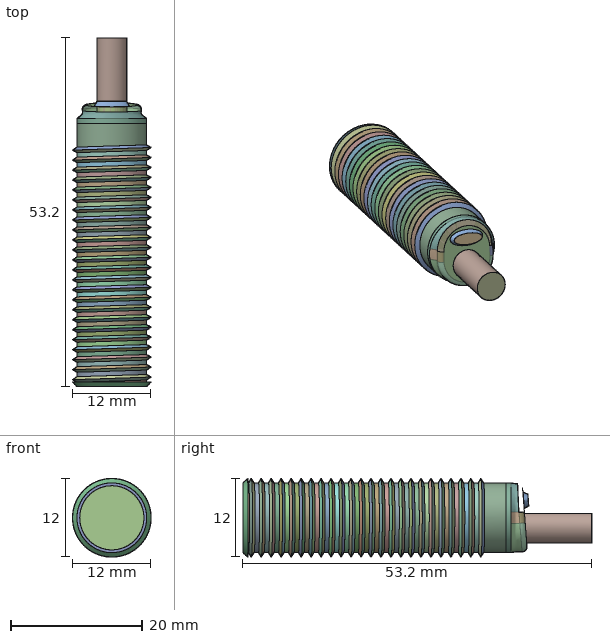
import cadquery as cq
import math

total_length = 53.2
core_radius = 5.3
crest_radius = 6.0

housing_length = 40.1
lead_chamfer_length = 0.75
ridge_count = 24
first_ridge_y = 1.3
last_ridge_y = 36.3
ridge_pitch = (last_ridge_y - first_ridge_y) / (ridge_count - 1)
ridge_half_width = 0.4
ridge_tilt = 1.9
ridge_root_depth = 0.55

face_radius = 4.9
face_depth = 1.0

collar_length = 0.8
blend_length = 0.7
nose_half_width = 4.5
nose_half_height = 5.2
nose_flat_half = 0.85
rear_face_y = 43.0
rear_face_tilt = 4.3
nose_fillet = 0.75
nose_overrun = 2.15

cable_radius = 2.3
cable_z = -1.6

light_z = 2.65
light_height = 0.75
light_half_width = 2.65
light_half_depth = 1.3
light_bevel = 0.35

collar_end_y = housing_length + collar_length


def cross_section(y, z=0.0):
    """Plane across the sensor at the given Y, facing the rear."""
    return cq.Plane(origin=(0, y, z), xDir=(-1, 0, 0), normal=(0, 1, 0))


def rod(radius, start_y, end_y, z=0.0):
    """Solid cylinder along Y."""
    return cq.Workplane(cross_section(start_y, z)).circle(radius).extrude(end_y - start_y)


def rear_plane(z=0.0):
    """Plane of the sloping rear face, with its origin at the given height."""
    tilt = math.radians(rear_face_tilt)
    return cq.Plane(
        origin=(0, rear_face_y - z * math.tan(tilt), z),
        xDir=(-1, 0, 0),
        normal=(0, math.cos(tilt), math.sin(tilt)),
    )


def make_ridge(y):
    """One V-shaped thread ridge around the core, tilted about Z."""
    slope = (crest_radius - core_radius) / ridge_half_width
    root_radius = core_radius - ridge_root_depth
    root_half_width = (crest_radius - root_radius) / slope
    ridge = (
        cq.Workplane("XY")
        .moveTo(root_radius, -root_half_width)
        .lineTo(crest_radius, 0)
        .lineTo(root_radius, root_half_width)
        .close()
        .revolve(360, (0, 0, 0), (0, 1, 0))
    )
    return ridge.rotate((0, 0, 0), (0, 0, 1), ridge_tilt).translate((0, y, 0))


def make_housing():
    """Threaded barrel with a flared front edge and a recess for the face disc."""
    barrel = (
        cq.Workplane("XY")
        .lineTo(core_radius, 0)
        .lineTo(crest_radius, lead_chamfer_length)
        .lineTo(core_radius, lead_chamfer_length)
        .lineTo(core_radius, housing_length)
        .lineTo(0, housing_length)
        .close()
        .revolve(360, (0, 0, 0), (0, 1, 0))
    )
    for index in range(ridge_count):
        barrel = barrel.union(make_ridge(first_ridge_y + index * ridge_pitch))
    return barrel.cut(make_face_disc())


def make_face_disc():
    return rod(face_radius, 0, face_depth)


def round_outline(workplane):
    """Circle of the collar, split into four arcs that pair with the sides of the nose."""
    x = math.sqrt(core_radius**2 - nose_flat_half**2)
    z = nose_flat_half
    return (
        workplane.moveTo(x, -z)
        .threePointArc((core_radius, 0), (x, z))
        .threePointArc((0, core_radius), (-x, z))
        .threePointArc((-core_radius, 0), (-x, -z))
        .threePointArc((0, -core_radius), (x, -z))
        .close()
    )


def nose_outline(workplane):
    """Oval with two short flat sides and an arc above and below."""
    x = nose_half_width
    z = nose_flat_half
    return (
        workplane.moveTo(x, -z)
        .lineTo(x, z)
        .threePointArc((0, nose_half_height), (-x, z))
        .lineTo(-x, -z)
        .threePointArc((0, -nose_half_height), (x, -z))
        .close()
    )


def make_end_cap():
    """Collar, blend and nose, cut by the sloping face, rounded and bored for the cable."""
    collar = rod(core_radius, housing_length, collar_end_y)

    nose = round_outline(cq.Workplane(cross_section(collar_end_y)))
    for step in (blend_length, blend_length, nose_overrun):
        nose = nose_outline(nose.workplane(offset=step))
    nose = nose.loft(combine=True)

    behind_face = cq.Workplane(rear_plane()).circle(2 * core_radius).extrude(total_length)
    nose = nose.cut(behind_face).faces(">Y").edges().fillet(nose_fillet)

    return collar.union(nose).cut(make_cable())


def make_cable():
    return rod(cable_radius, housing_length, total_length, cable_z)


def make_indicator_light():
    """Bevelled oval light standing on the sloping rear face."""
    return (
        cq.Workplane(rear_plane(light_z))
        .ellipse(light_half_width, light_half_depth)
        .workplane(offset=light_height)
        .ellipse(light_half_width - light_bevel, light_half_depth - light_bevel)
        .loft(ruled=True, combine=True)
    )


housing = make_housing()
face_disc = make_face_disc()
end_cap = make_end_cap()
cable = make_cable()
indicator_light = make_indicator_light()

result = cq.Compound.makeCompound(
    [housing.val(), face_disc.val(), end_cap.val(), cable.val(), indicator_light.val()]
)